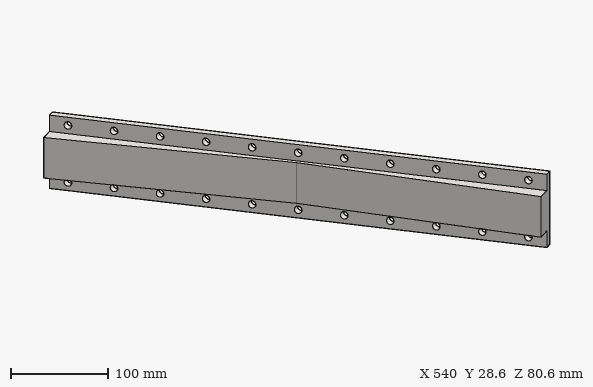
import cadquery as cq

length = 540.0
height = 80.6
end_depth = 28.6

flange_thickness = 10.0
flange_ledge = 18.0
rib_height = height - 2 * flange_ledge
middle_depth = 15.0

hole_diameter = 8.0
hole_pitch = 50.0
holes_per_row = 11
row_count = 2
row_spacing = height - flange_ledge


def make_flange_plate():
    """Flat plate with its front face at Y = -flange_thickness and its back at Y = 0."""
    return cq.Workplane("XY").box(length, flange_thickness, height).translate(
        (0, -flange_thickness / 2, 0)
    )


def make_rib():
    """Central rib whose front face slopes inward from both ends to a shallow V."""
    half_length = length / 2
    outline = [
        (-half_length, 0),
        (-half_length, -end_depth),
        (0, -middle_depth),
        (half_length, -end_depth),
        (half_length, 0),
    ]
    return (
        cq.Workplane("XY")
        .polyline(outline)
        .close()
        .extrude(rib_height / 2, both=True)
    )


def make_hole_cutters():
    """Two rows of through holes, one above and one below the rib."""
    return (
        cq.Workplane("XZ")
        .rarray(hole_pitch, row_spacing, holes_per_row, row_count)
        .circle(hole_diameter / 2)
        .extrude(flange_thickness)
    )


result = make_flange_plate().union(make_rib()).cut(make_hole_cutters())